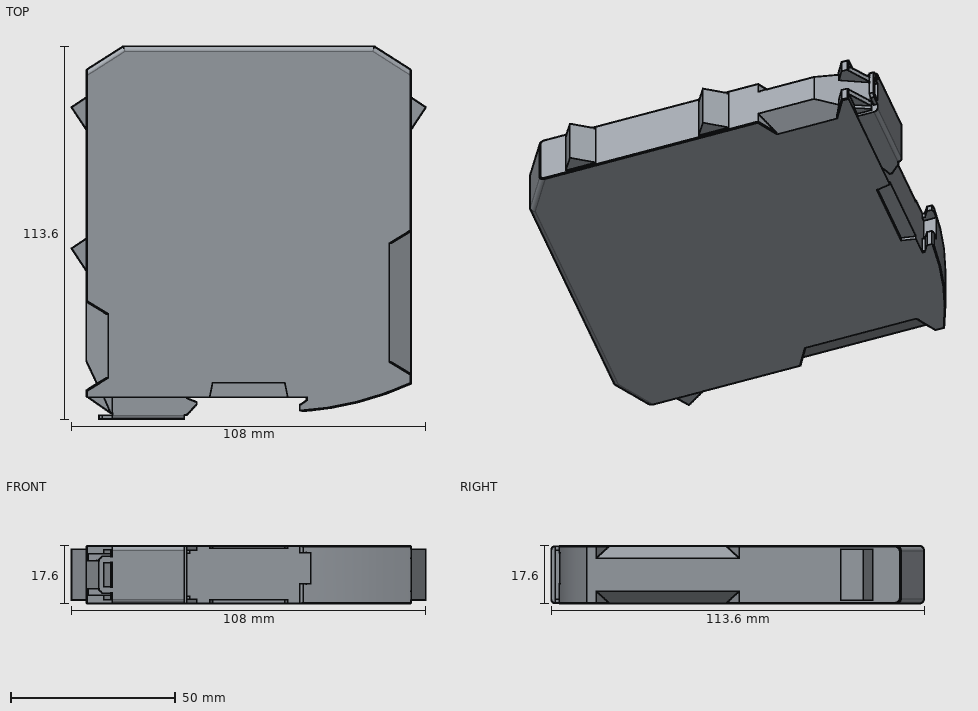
import cadquery as cq

width = 99.0
thickness = 17.6
top_y = 107.0
half_w = width / 2
half_t = thickness / 2

corner_x = 11.3
corner_y = 7.2
rim_radius = 1.5
edge_break = 0.3
zone_slack = 1.0

pocket_width = 6.7
pocket_taper = 4.1
pocket_depth = 3.8
left_pocket = (2.2, 29.2)
right_pocket = (7.1, 50.7)

slope_top_y = 11.1
slope_end = (-42.0, -4.8)
relief_half = 4.25
prong_break = 0.4

hook_root_x = 17.6
hook_root_y = -0.9
hook_tip_x = 15.5
hook_throat_y = -2.3
hook_bevel_y = -3.9
hook_low = (16.6, -4.2)
hook_arc_mid = (33.7, -1.4)
hook_end_y = 4.2
hook_notch_x = 18.95
hook_notch_z = (-2.8, 6.7)

seat_recess_half = 11.9
seat_recess_inner_half = 11.0
seat_recess_length = 4.5
seat_recess_depth_top = 0.7
seat_recess_depth_bottom = 1.2

foot_half = 8.7
foot_left = -41.5
foot_right = -18.9
foot_lip_y = -5.4
foot_bottom_y = -6.6
lip_right = -19.6
foot_radius = 1.2
foot_overlap = 1.0
tip_x = -15.8
tip_root = (-18.1, -0.5)
tip_high_y = -1.4
tip_low_y = -2.1
tip_inner_z = 7.5
nub_x = -17.9
nub_inner_z = 6.5

finger_left = -45.6
finger_half = 5.6
finger_corner = 1.0
slot_left = -44.2
slot_half = 3.7

gusset_outer_x = -48.9
gusset_outer_z = 6.3
gusset_inner_x = -44.1
gusset_inner_z = 7.6

tab_reach = 4.49
tab_half = 7.75
tab_tip_y = 88.4
tab_rise = 3.0
tab_drop = 6.8
tab_pitch = 43.0
tab_root = 1.0


def prism(points, z_low, z_high):
    """Closed polygon in XY, extruded between two Z levels."""
    return cq.Workplane("XY").workplane(offset=z_low).polyline(points).close().extrude(z_high - z_low)


def box(x_low, x_high, y_low, y_high, z_low, z_high):
    corners = [(x_low, y_low), (x_high, y_low), (x_high, y_high), (x_low, y_high)]
    return prism(corners, z_low, z_high)


def edge_zone(x_low, x_high, y_low, y_high):
    """Selects edges whose centre lies in the given XY range, at any height."""
    return cq.selectors.BoxSelector((x_low, y_low, -thickness), (x_high, y_high, thickness))


def housing():
    plate = (
        cq.Workplane("XY")
        .workplane(offset=-half_t)
        .moveTo(-half_w, prong_break)
        .lineTo(-half_w, top_y - corner_y)
        .lineTo(-half_w + corner_x, top_y)
        .lineTo(half_w - corner_x, top_y)
        .lineTo(half_w, top_y - corner_y)
        .lineTo(half_w, hook_end_y)
        .threePointArc(hook_arc_mid, hook_low)
        .lineTo(hook_tip_x, hook_bevel_y)
        .lineTo(hook_tip_x, hook_throat_y)
        .lineTo(hook_root_x, hook_root_y)
        .lineTo(hook_root_x, 0)
        .lineTo(-half_w + prong_break, 0)
        .close()
        .extrude(thickness)
    )
    rim = edge_zone(-half_w, half_w, top_y - corner_y, top_y + zone_slack)
    return plate.faces("|Z").edges(rim).fillet(rim_radius)


def break_edges(shape):
    """Chamfer both faces along the hook curve, the sides and the slanted pocket ends."""
    side_inner = half_w - pocket_width + pocket_width / 4
    side_top = top_y - corner_y - rim_radius

    hook = edge_zone(hook_low[0], side_inner, hook_low[1], hook_end_y)
    right = edge_zone(side_inner, half_w + zone_slack, hook_end_y, side_top)
    left = edge_zone(-half_w - zone_slack, -side_inner, prong_break, side_top)
    wanted = cq.selectors.SumSelector(cq.selectors.SumSelector(hook, left), right)
    return shape.faces("|Z").edges(wanted).chamfer(edge_break)


def pocket_wedge(side, y_range):
    """Wedge removed from the +Z face at the given side (-1 left, +1 right)."""
    y_low, y_high = y_range
    outer = side * half_w
    inner = side * (half_w - pocket_width)
    beyond = 2 * outer - inner
    outline = prism(
        [
            (beyond, y_low - pocket_taper),
            (inner, y_low + pocket_taper),
            (inner, y_high - pocket_taper),
            (beyond, y_high + pocket_taper),
        ],
        0,
        thickness,
    )
    section = [
        (inner, half_t),
        (beyond, half_t - 2 * pocket_depth),
        (beyond, thickness),
        (inner, thickness),
    ]
    ramp = cq.Workplane("XZ").polyline(section).close().extrude(top_y, both=True)
    return outline.intersect(ramp)


def on_both_faces(shape):
    return shape.union(shape.mirror("XY"))


def slope_x(y):
    """X of the slanted relief face at height y."""
    run = slope_end[0] + half_w
    return -half_w + run * (slope_top_y - y) / (slope_top_y - slope_end[1])


def latch_relief():
    """Material left of the slanted face: full depth above the prongs, slotted between them."""
    prong_top = left_pocket[0]
    inner = -half_w + pocket_width
    triangle = [(-half_w, slope_top_y), (slope_x(0), 0), (-half_w, 0)]
    prong = [(-half_w, prong_top), (inner, prong_top + pocket_taper), (inner, 0), (-half_w, 0)]
    above = prism(triangle, -half_t, half_t).cut(prism(prong, -half_t, half_t))
    between = prism(triangle, -relief_half, relief_half)
    return above.union(between)


def seat_recess(z_low, z_high):
    return prism(
        [
            (-seat_recess_half, 0),
            (seat_recess_half, 0),
            (seat_recess_inner_half, seat_recess_length),
            (-seat_recess_inner_half, seat_recess_length),
        ],
        z_low,
        z_high,
    )


def side_tab(side, tip_y):
    root = side * (half_w - tab_root)
    side_x = side * half_w
    points = [
        (root, tip_y + tab_rise),
        (side_x, tip_y + tab_rise),
        (side * (half_w + tab_reach), tip_y),
        (side_x, tip_y - tab_drop),
        (root, tip_y - tab_drop),
    ]
    return prism(points, -tab_half, tab_half)


def latch_foot():
    outline = [
        (foot_left, foot_overlap),
        (foot_right, foot_overlap),
        (foot_right, foot_lip_y),
        (lip_right, foot_lip_y),
        (lip_right, foot_bottom_y),
        (foot_left, foot_bottom_y),
    ]
    foot = prism(outline, -foot_half, foot_half)
    foot = foot.faces("<Y").edges("|X").fillet(foot_radius)

    tip = [
        (foot_right, 0),
        tip_root,
        (tip_x, tip_high_y),
        (tip_x, tip_low_y),
        (foot_right, foot_lip_y),
    ]
    foot = foot.union(on_both_faces(prism(tip, tip_inner_z, foot_half)))
    nub = box(foot_right, nub_x, tip_low_y, tip_root[1], nub_inner_z, tip_inner_z)
    foot = foot.union(on_both_faces(nub))

    finger = box(finger_left, foot_left, foot_bottom_y, foot_lip_y, -finger_half, finger_half)
    finger = finger.faces("<X").edges("|Y").chamfer(finger_corner)
    slot = box(slot_left, foot_left, foot_bottom_y, foot_lip_y, -slot_half, slot_half)
    return foot.union(finger.cut(slot))


def gussets():
    end_y = slope_end[1]

    def web(outer_x, z_low, z_high):
        points = [(outer_x, 0), (foot_left, 0), (foot_left, end_y), (slope_end[0], end_y)]
        return prism(points, z_low, z_high)

    outer = on_both_faces(web(gusset_outer_x, relief_half, gusset_outer_z))
    inner = on_both_faces(web(gusset_inner_x, gusset_outer_z, gusset_inner_z))
    centre = web(slope_x(0), -relief_half, relief_half)
    return outer.union(inner).union(centre)


body = housing()
for pocket_side, pocket_range in ((-1, left_pocket), (1, right_pocket)):
    body = body.cut(on_both_faces(pocket_wedge(pocket_side, pocket_range)))
body = break_edges(body)
body = body.cut(latch_relief())
body = body.cut(seat_recess(half_t - seat_recess_depth_top, half_t))
body = body.cut(seat_recess(-half_t, -half_t + seat_recess_depth_bottom))
body = body.cut(box(hook_tip_x, hook_notch_x, hook_low[1], 0, *hook_notch_z))

for tab_side, tip_y in ((-1, tab_tip_y), (-1, tab_tip_y - tab_pitch), (1, tab_tip_y)):
    body = body.union(side_tab(tab_side, tip_y))

result = body.union(latch_foot()).union(gussets())